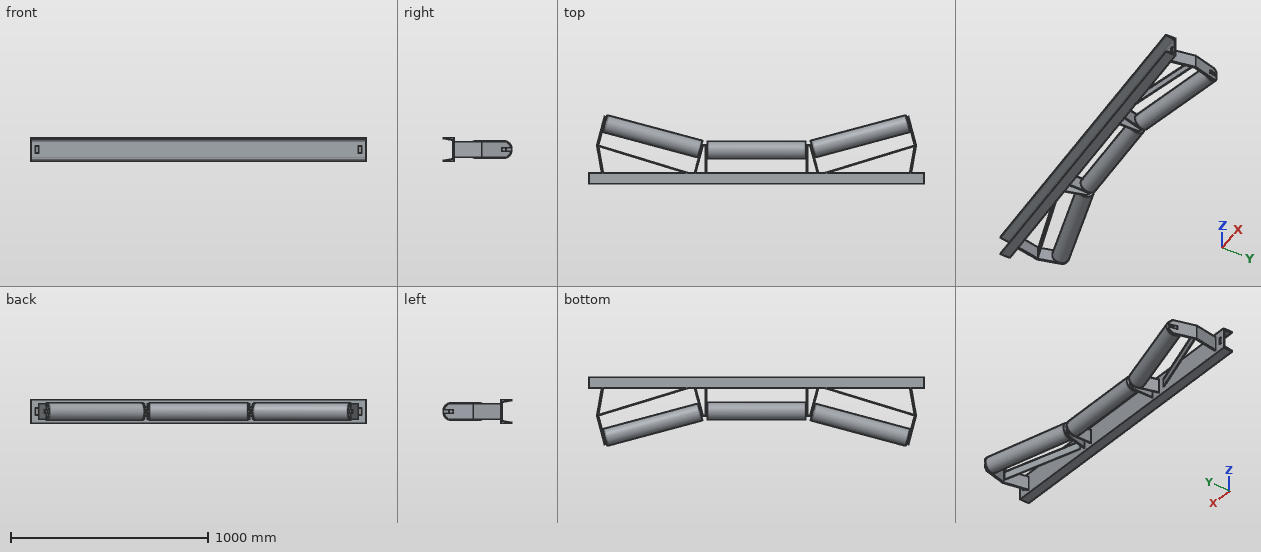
import cadquery as cq
import math

beam_length = 1700.0
beam_height = 120.0
flange_width = 56.0
web_thickness = 7.0
flange_mid_thickness = 9.4
flange_slope = 0.16
root_radius = 7.0
tip_radius = 3.0
mount_slot_length = 34.0
mount_slot_width = 14.0
mount_slot_inset = 30.0

roller_length = 502.0
roller_diameter = 90.0
rim_length = 7.0
rim_depth = 0.8
axle_diameter = 24.0
axle_flat_width = 17.0
trough_angle = 15.0
middle_roller_y = 115.0
side_roller_x = 527.0
side_roller_y = 185.0

support_height = 80.0
outer_corner = 17.0
inner_corner = 22.0
end_gap = 2.5
inner_thickness = 6.0
inner_top_y = 143.0
outer_thickness = 8.0
outer_bend_y = 140.0
outer_lower_angle = 10.0
outer_reach = 34.0

brace_height = 48.0
brace_thickness = 4.2
brace_angle = 17.0

trough_sin = math.sin(math.radians(trough_angle))
trough_cos = math.cos(math.radians(trough_angle))
lower_lean = math.tan(math.radians(outer_lower_angle))
brace_rise = math.tan(math.radians(brace_angle))
support_face = roller_length / 2 + end_gap


def side_point(along, across):
    """Point given along the side roller axis and square to it."""
    return (
        side_roller_x + along * trough_cos - across * trough_sin,
        side_roller_y + along * trough_sin + across * trough_cos,
    )


def side_plane_x(along, y):
    """X at height y on the plane square to the side roller axis at this distance."""
    return side_roller_x + (along - (y - side_roller_y) * trough_sin) / trough_cos


def place_middle(body):
    return body.translate((0, middle_roller_y, 0))


def place_side(body):
    return body.rotate((0, 0, 0), (0, 0, 1), trough_angle).translate((side_roller_x, side_roller_y, 0))


def extrude_even(outline, height):
    """Prism on an XY outline, centred on Z = 0."""
    prism = cq.Workplane("XY").workplane(offset=-height / 2)
    return prism.polyline(outline).close().extrude(height)


def make_beam():
    """Tapered-flange channel with one upright mounting slot near each end."""
    half_height = beam_height / 2
    inner_mid_z = half_height - flange_mid_thickness
    tip_z = inner_mid_z + flange_slope * flange_width / 2
    root_z = tip_z - flange_slope * (flange_width - web_thickness)
    outline = [
        (0, -half_height),
        (0, half_height),
        (-flange_width, half_height),
        (-flange_width, tip_z),
        (-web_thickness, root_z),
        (-web_thickness, -root_z),
        (-flange_width, -tip_z),
        (-flange_width, -half_height),
    ]
    beam = cq.Workplane("YZ", origin=(-beam_length / 2, 0, 0)).polyline(outline).close().extrude(beam_length)
    for y, z, radius in [(-web_thickness, root_z, root_radius), (-flange_width, tip_z, tip_radius)]:
        for side in (-1, 1):
            edge = cq.selectors.NearestToPointSelector((0, y, side * z))
            beam = beam.edges("|X").edges(edge).fillet(radius)
    slot_x = beam_length / 2 - mount_slot_inset
    slots = (
        cq.Workplane("XZ")
        .pushPoints([(-slot_x, 0), (slot_x, 0)])
        .rect(mount_slot_width, mount_slot_length)
        .extrude(web_thickness)
    )
    return beam.cut(slots)


def make_shell():
    """Roller shell along X with slightly tapered rims."""
    radius = roller_diameter / 2
    half_length = roller_length / 2
    half_outline = [
        (-half_length, 0),
        (-half_length, radius - rim_depth),
        (-half_length + rim_length, radius),
        (half_length - rim_length, radius),
        (half_length, radius - rim_depth),
        (half_length, 0),
    ]
    return cq.Workplane("XZ").polyline(half_outline).close().revolve(360, (0, 0, 0), (1, 0, 0))


def make_roller(low_support_thickness, high_support_thickness):
    """Shell with a two-flat axle whose ends are flush with the outsides of the -X and +X supports."""
    start = -support_face - low_support_thickness
    length = 2 * support_face + low_support_thickness + high_support_thickness
    axle = cq.Workplane("YZ", origin=(start, 0, 0)).circle(axle_diameter / 2).extrude(length)
    flats = cq.Workplane("XY").box(2 * length, axle_diameter, axle_flat_width)
    return make_shell().union(axle.intersect(flats))


def axle_slot(end, thickness):
    """Square-bottomed slot for one axle end (end = -1 or 1), open towards +Y."""
    depth = support_height
    x = end * (support_face + thickness / 2)
    slot = cq.Workplane("XY").box(2 * thickness, depth, axle_flat_width)
    return slot.translate((x, (depth - axle_diameter) / 2, 0))


def bevelled_envelope():
    """Bar along X whose section has the two bevelled top corners of an inner support."""
    half_height = support_height / 2
    corner_y = inner_top_y - inner_corner
    corner_z = half_height - inner_corner
    section = [
        (0, -half_height),
        (corner_y, -half_height),
        (inner_top_y, -corner_z),
        (inner_top_y, corner_z),
        (corner_y, half_height),
        (0, half_height),
    ]
    return cq.Workplane("YZ").polyline(section).close().extrude(side_roller_x)


def make_inner_support():
    """Bent plate with a leg for the middle roller and a leg for one side roller."""
    under_y = inner_top_y - inner_thickness
    upright_outside = support_face + inner_thickness
    leaning_inside = -support_face
    leaning_outside = leaning_inside - inner_thickness
    outline = [
        (support_face, 0),
        (support_face, inner_top_y),
        (side_plane_x(leaning_inside, inner_top_y), inner_top_y),
        (side_plane_x(leaning_inside, 0), 0),
        (side_plane_x(leaning_outside, 0), 0),
        (side_plane_x(leaning_outside, under_y), under_y),
        (upright_outside, under_y),
        (upright_outside, 0),
    ]
    support = extrude_even(outline, support_height).intersect(bevelled_envelope())
    support = support.cut(place_middle(axle_slot(1, inner_thickness)))
    return support.cut(place_side(axle_slot(-1, inner_thickness)))


def make_outer_support():
    """Bent plate with bevelled top corners for the outer end of a side roller."""
    outside = support_face + outer_thickness
    bend_inside_x = side_plane_x(support_face, outer_bend_y)
    bend_outside_x = side_plane_x(outside, outer_bend_y)
    foot_shift = outer_bend_y * lower_lean
    outline = [
        (bend_inside_x - foot_shift, 0),
        (bend_inside_x, outer_bend_y),
        side_point(support_face, outer_reach),
        side_point(outside, outer_reach),
        (bend_outside_x, outer_bend_y),
        (bend_outside_x - foot_shift, 0),
    ]
    support = extrude_even(outline, support_height)
    top_x, top_y = side_point(support_face + outer_thickness / 2, outer_reach)
    for side in (-1, 1):
        corner = cq.selectors.NearestToPointSelector((top_x, top_y, side * support_height / 2))
        support = support.edges(corner).chamfer(outer_corner)
    return support.cut(place_side(axle_slot(1, outer_thickness)))


def make_brace():
    """Flat bar from the bend of the outer support down to the beam."""
    bend_x = side_plane_x(support_face, outer_bend_y)
    upright_thickness = brace_thickness / math.cos(math.radians(brace_angle))
    end_drop = upright_thickness / (1 - brace_rise * lower_lean)
    foot_x = bend_x - outer_bend_y / brace_rise
    outline = [
        (bend_x, outer_bend_y),
        (foot_x, 0),
        (foot_x + upright_thickness / brace_rise, 0),
        (bend_x - end_drop * lower_lean, outer_bend_y - end_drop),
    ]
    return extrude_even(outline, brace_height)


def mirrored_pair(body):
    return [body, body.mirror("YZ")]


beam = make_beam()
middle_roller = place_middle(make_roller(inner_thickness, inner_thickness))
side_rollers = mirrored_pair(place_side(make_roller(inner_thickness, outer_thickness)))
inner_supports = mirrored_pair(make_inner_support())
outer_supports = mirrored_pair(make_outer_support())
braces = mirrored_pair(make_brace())

bodies = [beam, middle_roller, *side_rollers, *inner_supports, *outer_supports, *braces]
result = cq.Compound.makeCompound([body.val() for body in bodies])